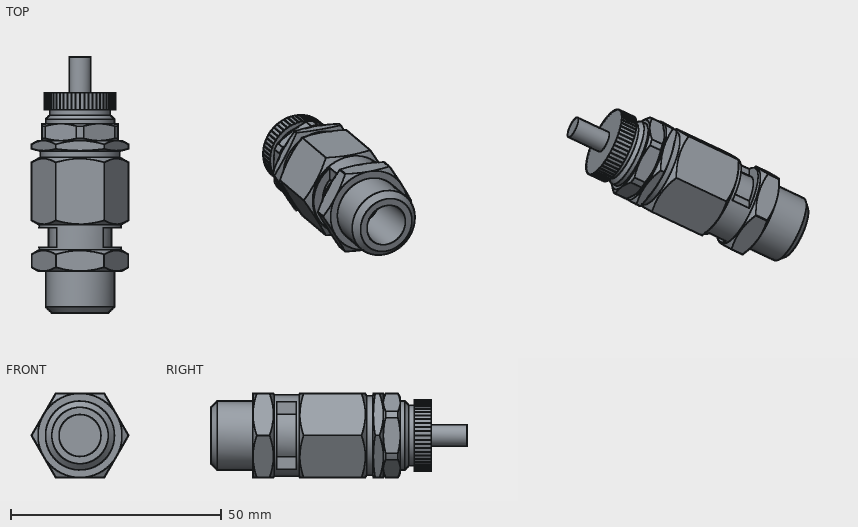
import cadquery as cq
import math

TOTAL_LENGTH = 60.9

SPIGOT_END = 10.0
FRONT_HEX_END = 15.0
COLLAR_END = 21.0
BODY_HEX_END = 37.0
NECK_END = 38.5
LOCK_NUT_END = 41.0
CLAMP_HEX_END = 45.0
REAR_THREAD_END = 46.1
REAR_NECK_END = 48.3
KNURL_END = 52.4

THREAD_DIAMETER = 16.42
BORE_DIAMETER = 10.0
COLLAR_DIAMETER = 19.5
NECK_DIAMETER = 19.0
REAR_NECK_DIAMETER = 14.5
KNURL_DIAMETER = 17.0
CABLE_DIAMETER = 5.2

HEX_FLATS = 20.0
CLAMP_HEX_FLATS = 18.1
CLAMP_HEX_CORNER_DIAMETER = 20.0
FRONT_HEX_CORNER_DIAMETER = 23.0
HEX_CONE_ANGLE = 30.0
SHALLOW_CONE_ANGLE = 15.0

MOUTH_CHAMFER = 1.5
BORE_DEPTH = FRONT_HEX_END

WINDOW_START = 15.65
WINDOW_END = 20.25
WINDOW_CORE_DIAMETER = 15.0
WINDOW_FLAT_DISTANCE = 5.55

KNURL_COUNT = 52
KNURL_GROOVE_WIDTH = 0.1
KNURL_GROOVE_DEPTH = 0.1


def revolved(points):
    """Solid of revolution about Y from a closed (radius, y) outline."""
    return cq.Workplane("XY").polyline(points).close().revolve(360, (0, 0, 0), (0, 1, 0))


def cylinder(diameter, start, end):
    radius = diameter / 2
    return revolved([(0, start), (radius, start), (radius, end), (0, end)])


def coned_hex(flats, start, end, front_diameter, rear_diameter, front_angle=HEX_CONE_ANGLE,
              corner_diameter=None, corner_direction=0):
    """Hexagonal prism along Y whose corners are turned down by a cone at each end.

    Cone angles are measured from the end face; corner_direction turns the prism about Y.
    """
    across_corners = flats / math.cos(math.pi / 6)
    outer_radius = (corner_diameter or across_corners) / 2
    front_radius = front_diameter / 2
    rear_radius = rear_diameter / 2
    front_rise = (outer_radius - front_radius) * math.tan(math.radians(front_angle))
    rear_rise = (outer_radius - rear_radius) * math.tan(math.radians(HEX_CONE_ANGLE))
    envelope = revolved([
        (0, start),
        (front_radius, start),
        (outer_radius, start + front_rise),
        (outer_radius, end - rear_rise),
        (rear_radius, end),
        (0, end),
    ])
    prism = (
        cq.Workplane("XZ", origin=(0, start, 0))
        .polygon(6, across_corners)
        .extrude(start - end)
        .rotate((0, 0, 0), (0, 1, 0), corner_direction)
    )
    return prism.intersect(envelope)


def make_spigot():
    radius = THREAD_DIAMETER / 2
    return revolved([
        (0, 0),
        (radius - MOUTH_CHAMFER, 0),
        (radius, MOUTH_CHAMFER),
        (radius, SPIGOT_END),
        (0, SPIGOT_END),
    ])


def make_windowed_collar():
    collar = cylinder(COLLAR_DIAMETER, FRONT_HEX_END, COLLAR_END)
    ring = cylinder(COLLAR_DIAMETER, WINDOW_START, WINDOW_END).cut(
        cylinder(WINDOW_CORE_DIAMETER, WINDOW_START, WINDOW_END)
    )
    slab_width = 2 * WINDOW_FLAT_DISTANCE
    slab_length = WINDOW_END - WINDOW_START
    kept_slab = (
        cq.Workplane("XY", origin=(0, WINDOW_START, 0))
        .box(slab_width, slab_length, COLLAR_DIAMETER, centered=(True, False, True))
    )
    return collar.cut(ring.cut(kept_slab))


def make_rear_thread():
    """Short rear thread that tapers at 45 degrees to the neck ahead of the knurled cap."""
    thread_radius = THREAD_DIAMETER / 2
    neck_radius = REAR_NECK_DIAMETER / 2
    taper_end = REAR_THREAD_END + thread_radius - neck_radius
    return revolved([
        (0, CLAMP_HEX_END),
        (thread_radius, CLAMP_HEX_END),
        (thread_radius, REAR_THREAD_END),
        (neck_radius, taper_end),
        (neck_radius, REAR_NECK_END),
        (0, REAR_NECK_END),
    ])


def make_knurled_cap():
    length = KNURL_END - REAR_NECK_END
    grooves = (
        cq.Workplane("XZ", origin=(0, REAR_NECK_END, 0))
        .polarArray(KNURL_DIAMETER / 2, 0, 360, KNURL_COUNT)
        .rect(2 * KNURL_GROOVE_DEPTH, KNURL_GROOVE_WIDTH)
        .extrude(-length)
    )
    return cylinder(KNURL_DIAMETER, REAR_NECK_END, KNURL_END).cut(grooves)


front_hex = coned_hex(
    HEX_FLATS, SPIGOT_END, FRONT_HEX_END, HEX_FLATS, COLLAR_DIAMETER,
    corner_diameter=FRONT_HEX_CORNER_DIAMETER,
)
body_hex = coned_hex(HEX_FLATS, COLLAR_END, BODY_HEX_END, COLLAR_DIAMETER, NECK_DIAMETER)
neck = cylinder(NECK_DIAMETER, BODY_HEX_END, NECK_END)
lock_nut = coned_hex(
    HEX_FLATS, NECK_END, LOCK_NUT_END, NECK_DIAMETER, HEX_FLATS, front_angle=SHALLOW_CONE_ANGLE
)
clamp_hex = coned_hex(
    CLAMP_HEX_FLATS, LOCK_NUT_END, CLAMP_HEX_END, CLAMP_HEX_FLATS, CLAMP_HEX_FLATS,
    corner_diameter=CLAMP_HEX_CORNER_DIAMETER, corner_direction=90,
)
cable = cylinder(CABLE_DIAMETER, KNURL_END, TOTAL_LENGTH)
bore = cylinder(BORE_DIAMETER, 0, BORE_DEPTH)

result = make_spigot()
for section in (
    front_hex, make_windowed_collar(), body_hex, neck, lock_nut, clamp_hex,
    make_rear_thread(), make_knurled_cap(), cable,
):
    result = result.union(section)
result = result.cut(bore)